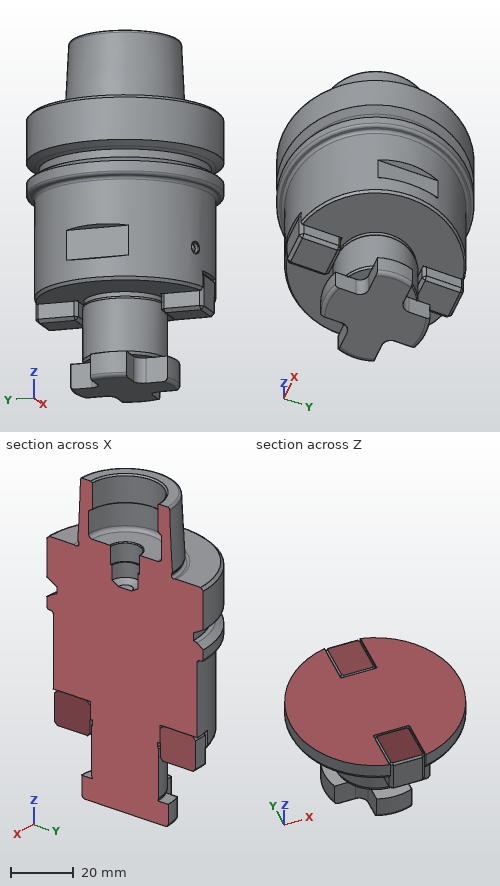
import cadquery as cq


TOTAL_HEIGHT = 114.0
FLANGE_TOP = 89.4
GROOVE_UPPER_EDGE = 74.4
GROOVE_LOWER_EDGE = 67.5
FLANGE_BOTTOM = 63.0
BODY_BOTTOM = 29.0
HEAD_HEIGHT = 8.3

TAPER_TOP_RADIUS = 18.0
TAPER_BASE_RADIUS = 19.2
TAPER_LENGTH = 22.7
TAPER_TOP_FILLET = 0.9
NECK_RADIUS = 18.7
NECK_RAMP = 0.9
NECK_FILLET = 0.9
FACE_RECESS_RADIUS = 20.6
FACE_RECESS_SLOPE_WIDTH = 0.9
FACE_RECESS_DEPTH = 0.2

FLANGE_DIAMETER = 63.0
FLANGE_RADIUS = FLANGE_DIAMETER / 2
FLANGE_TOP_CHAMFER = 1.0
FLANGE_BOTTOM_FILLET = 1.0
GROOVE_RADIUS = 27.6
GROOVE_SHOULDER_RADIUS = 29.0
GROOVE_UPPER_SIDE = 1.5
GROOVE_UPPER_CORNER = 0.7
GROOVE_LOWER_SIDE = 1.7
GROOVE_LOWER_CORNER = 0.5

BODY_RADIUS = 29.0
BODY_EDGE_WIDTH = 0.6
BODY_EDGE_HEIGHT = 1.1
BODY_TOP_FILLET = 1.0
PILOT_RADIUS = 13.6
PILOT_RELIEF_RADIUS = 13.2
PILOT_RELIEF_LENGTH = 1.5
PILOT_RELIEF_RAMP = 0.7
PILOT_EDGE_WIDTH = 0.3
PILOT_EDGE_HEIGHT = 1.0

CIRCLE_TOLERANCE = 0.01

HEAD_RADIUS = 17.4
HEAD_EDGE_FILLET = 1.4
ARM_HALF_WIDTH = 6.0
ARM_CORNER_RADIUS = 3.1

BORE_RADIUS = 13.1
BORE_CHAMFER = 0.6
BORE_MOUTH_LENGTH = 10.0
CHAMBER_RADIUS = 14.6
CHAMBER_RAMP = 0.9
CHAMBER_FLOOR = 93.5
CHAMBER_FLOOR_FILLET = 1.5
COUNTERBORE_RADIUS = 5.7
COUNTERBORE_CHAMFER = 0.3
COUNTERBORE_DEPTH = 6.8
DRILLED_HOLE_RADIUS = 5.1
DRILLED_HOLE_DEPTH = 13.7
DRILLED_HOLE_END_RADIUS = 2.6
DRILLED_HOLE_CONE_HEIGHT = 1.5

FLAT_DISTANCE = 27.0
FLAT_CENTER_HEIGHT = 42.0
FLAT_HEIGHT = 9.8
FLAT_WALL_FLARE = 0.7

SIDE_HOLE_ANGLE = 20.0
SIDE_HOLE_HEIGHT = 42.2
SIDE_HOLE_RADIUS = 1.7
SIDE_HOLE_CHAMFER = 0.3
SIDE_HOLE_DEPTH = 1.8
DOME_HEIGHT = 1.1

KEY_WIDTH = 12.2
KEY_TOP = 35.3
KEY_BOTTOM = 22.9
KEY_INNER_Y = 14.0
KEY_OUTER_Y = 28.4
KEY_CHAMFER = 1.1


def revolved(points):
    """Solid of revolution about Z from (radius, height) points."""
    return cq.Workplane("XZ").polyline(points).close().revolve(360, (0, 0), (0, 1))


def fillet_circle(shape, radius, height, fillet_radius):
    """Round the circular edge about Z that has the given radius and height."""
    outer = radius + CIRCLE_TOLERANCE
    inner = radius - CIRCLE_TOLERANCE
    edges = [
        edge for edge in shape.edges("%CIRCLE").vals()
        if inner < edge.radius() < outer and abs(edge.Center().z - height) < CIRCLE_TOLERANCE
    ]
    return shape.newObject(edges).fillet(fillet_radius)


def holder_blank():
    """Turned outside shape from the taper down to the pilot."""
    taper_base = TOTAL_HEIGHT - TAPER_LENGTH
    recess_floor = FLANGE_TOP - FACE_RECESS_DEPTH
    groove_top = GROOVE_UPPER_EDGE - GROOVE_UPPER_SIDE
    groove_bottom = GROOVE_LOWER_EDGE + GROOVE_LOWER_SIDE
    relief_end = BODY_BOTTOM - PILOT_RELIEF_LENGTH
    blank = revolved([
        (0, TOTAL_HEIGHT),
        (TAPER_TOP_RADIUS, TOTAL_HEIGHT),
        (TAPER_BASE_RADIUS, taper_base),
        (NECK_RADIUS, taper_base - NECK_RAMP),
        (NECK_RADIUS, recess_floor),
        (FACE_RECESS_RADIUS - FACE_RECESS_SLOPE_WIDTH, recess_floor),
        (FACE_RECESS_RADIUS, FLANGE_TOP),
        (FLANGE_RADIUS - FLANGE_TOP_CHAMFER, FLANGE_TOP),
        (FLANGE_RADIUS, FLANGE_TOP - FLANGE_TOP_CHAMFER),
        (FLANGE_RADIUS, GROOVE_UPPER_EDGE),
        (GROOVE_SHOULDER_RADIUS, groove_top),
        (GROOVE_RADIUS, groove_top - GROOVE_UPPER_CORNER),
        (GROOVE_RADIUS, groove_bottom + GROOVE_LOWER_CORNER),
        (GROOVE_SHOULDER_RADIUS, groove_bottom),
        (FLANGE_RADIUS, GROOVE_LOWER_EDGE),
        (FLANGE_RADIUS, FLANGE_BOTTOM),
        (BODY_RADIUS, FLANGE_BOTTOM),
        (BODY_RADIUS, BODY_BOTTOM + BODY_EDGE_HEIGHT),
        (BODY_RADIUS - BODY_EDGE_WIDTH, BODY_BOTTOM),
        (PILOT_RELIEF_RADIUS, BODY_BOTTOM),
        (PILOT_RELIEF_RADIUS, relief_end),
        (PILOT_RADIUS, relief_end - PILOT_RELIEF_RAMP),
        (PILOT_RADIUS, HEAD_HEIGHT + PILOT_EDGE_HEIGHT),
        (PILOT_RADIUS - PILOT_EDGE_WIDTH, HEAD_HEIGHT),
        (0, HEAD_HEIGHT),
    ])
    blank = fillet_circle(blank, TAPER_TOP_RADIUS, TOTAL_HEIGHT, TAPER_TOP_FILLET)
    blank = fillet_circle(blank, NECK_RADIUS, recess_floor, NECK_FILLET)
    blank = fillet_circle(blank, FLANGE_RADIUS, FLANGE_BOTTOM, FLANGE_BOTTOM_FILLET)
    return fillet_circle(blank, BODY_RADIUS, FLANGE_BOTTOM, BODY_TOP_FILLET)


def clamping_head():
    """Disc with four square notches that leave a cross of four arms."""
    head = cq.Workplane("XY").circle(HEAD_RADIUS).extrude(HEAD_HEIGHT)
    head = head.faces("<Z").edges().fillet(HEAD_EDGE_FILLET)
    notch_center = ARM_HALF_WIDTH + HEAD_RADIUS / 2
    notch = (
        cq.Workplane("XY").center(notch_center, notch_center)
        .rect(HEAD_RADIUS, HEAD_RADIUS).extrude(HEAD_HEIGHT)
        .edges("|Z and <X and <Y").fillet(ARM_CORNER_RADIUS)
    )
    for quarter in range(4):
        head = head.cut(notch.rotate((0, 0, 0), (0, 0, 1), 90 * quarter))
    return head


def top_bores():
    """Clamping chamber of the hollow taper and the stepped hole in its floor."""
    mouth_end = TOTAL_HEIGHT - BORE_MOUTH_LENGTH
    counterbore_end = CHAMBER_FLOOR - COUNTERBORE_DEPTH
    hole_end = CHAMBER_FLOOR - DRILLED_HOLE_DEPTH
    bores = revolved([
        (0, TOTAL_HEIGHT),
        (BORE_RADIUS + BORE_CHAMFER, TOTAL_HEIGHT),
        (BORE_RADIUS, TOTAL_HEIGHT - BORE_CHAMFER),
        (BORE_RADIUS, mouth_end),
        (CHAMBER_RADIUS, mouth_end - CHAMBER_RAMP),
        (CHAMBER_RADIUS, CHAMBER_FLOOR),
        (COUNTERBORE_RADIUS + COUNTERBORE_CHAMFER, CHAMBER_FLOOR),
        (COUNTERBORE_RADIUS, CHAMBER_FLOOR - COUNTERBORE_CHAMFER),
        (COUNTERBORE_RADIUS, counterbore_end),
        (DRILLED_HOLE_RADIUS, counterbore_end),
        (DRILLED_HOLE_RADIUS, hole_end + DRILLED_HOLE_CONE_HEIGHT),
        (DRILLED_HOLE_END_RADIUS, hole_end),
        (0, hole_end),
    ])
    return fillet_circle(bores, CHAMBER_RADIUS, CHAMBER_FLOOR, CHAMBER_FLOOR_FILLET)


def wrench_flat():
    """Cutter for the +X flat; its upper and lower walls flare outward."""
    half = FLAT_HEIGHT / 2
    flare = FLAT_WALL_FLARE / (BODY_RADIUS - FLAT_DISTANCE)
    outer_half = half + flare * (FLANGE_RADIUS - FLAT_DISTANCE)
    return (
        cq.Workplane("XZ")
        .polyline([
            (FLAT_DISTANCE, FLAT_CENTER_HEIGHT - half),
            (FLANGE_RADIUS, FLAT_CENTER_HEIGHT - outer_half),
            (FLANGE_RADIUS, FLAT_CENTER_HEIGHT + outer_half),
            (FLAT_DISTANCE, FLAT_CENTER_HEIGHT + half),
        ])
        .close().extrude(BODY_RADIUS, both=True)
    )


def side_hole():
    """Radial hole cutter on the -Y side, whose floor bulges outward as a dome."""
    floor = BODY_RADIUS - SIDE_HOLE_DEPTH
    dome_radius = (SIDE_HOLE_RADIUS ** 2 + DOME_HEIGHT ** 2) / (2 * DOME_HEIGHT)
    edge = BODY_RADIUS - SIDE_HOLE_CHAMFER
    cutter = (
        cq.Workplane("XY")
        .moveTo(0, floor + DOME_HEIGHT)
        .radiusArc((SIDE_HOLE_RADIUS, floor), dome_radius)
        .lineTo(SIDE_HOLE_RADIUS, edge)
        .lineTo(SIDE_HOLE_RADIUS + SIDE_HOLE_CHAMFER, BODY_RADIUS)
        .lineTo(0, BODY_RADIUS)
        .close().revolve(360, (0, 0), (0, 1))
    )
    facing = 180 - SIDE_HOLE_ANGLE
    return cutter.rotate((0, 0, 0), (0, 0, 1), facing).translate((0, 0, SIDE_HOLE_HEIGHT))


def key_block(outer_y):
    """Plain block of a drive key on the +Y side, from its inner face out to outer_y."""
    return cq.Workplane("XY").box(
        KEY_WIDTH, outer_y - KEY_INNER_Y, KEY_TOP - KEY_BOTTOM, centered=(True, False, False)
    ).translate((0, KEY_INNER_Y, KEY_BOTTOM))


def half_turn(shape):
    return shape.rotate((0, 0, 0), (0, 0, 1), 180)


def build_holder():
    holder = holder_blank().union(clamping_head()).cut(top_bores()).cut(side_hole())
    slot = key_block(FLANGE_RADIUS)
    for cutter in (slot, wrench_flat()):
        holder = holder.cut(cutter).cut(half_turn(cutter))
    return holder.solids()


def build_key(turn):
    key = key_block(KEY_OUTER_Y).edges().chamfer(KEY_CHAMFER)
    return key.rotate((0, 0, 0), (0, 0, 1), turn).solids()


holder = build_holder()
keys = [build_key(turn) for turn in (0, 180)]

result = cq.Compound.makeCompound([holder.val(), *[key.val() for key in keys]])